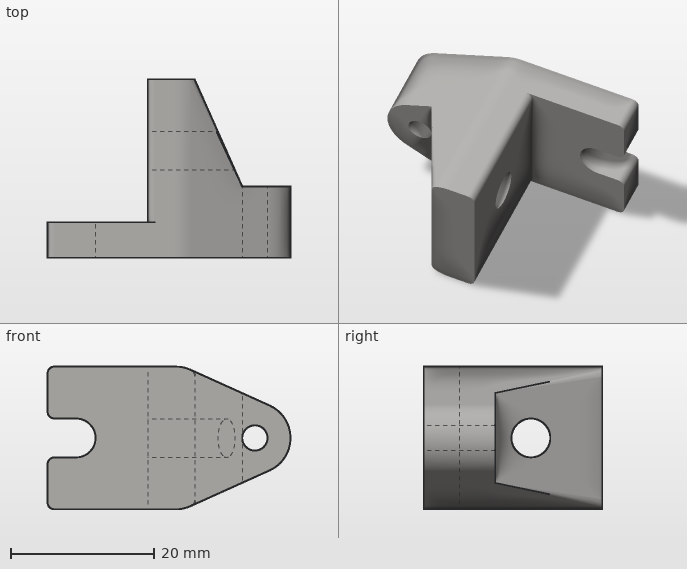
import cadquery as cq
import math

length = 34.0
height = 20.0
half_height = height / 2
nose_radius = 5.0
nose_x = length - nose_radius
shoulder_x = 19.0
shoulder_radius = 5.0
corner_radius = 1.0

depth = 25.0
plate_thickness = 5.0
nose_depth = 10.0

wall_front_x = 14.0
slope_top_x = 20.57
slope_foot_x = 27.25
back_rounding_radius = 1.12

nose_hole_diameter = 3.5
wall_hole_diameter = 5.4
wall_hole_y = 15.0
slot_width = 5.4
slot_round_x = 4.0

reach_x = nose_x - shoulder_x
flank_angle = math.atan2(half_height, reach_x) - math.asin(nose_radius / math.hypot(reach_x, half_height))
tangent_x = nose_x + nose_radius * math.sin(flank_angle)
tangent_z = nose_radius * math.cos(flank_angle)


def make_outline_body():
    """Full-depth extrusion of the plate outline with rounded shoulders."""
    body = (
        cq.Workplane("XZ")
        .moveTo(0, -half_height)
        .lineTo(shoulder_x, -half_height)
        .lineTo(tangent_x, -tangent_z)
        .threePointArc((length, 0), (tangent_x, tangent_z))
        .lineTo(shoulder_x, half_height)
        .lineTo(0, half_height)
        .close()
        .extrude(-depth)
    )
    edge_margin = 0.35
    shoulders = cq.selectors.BoxSelector(
        (shoulder_x - edge_margin, 0, -height), (shoulder_x + edge_margin, depth, height)
    )
    return body.edges("|Y").edges(shoulders).fillet(shoulder_radius)


def make_side_shape():
    """L-shaped body with a sloping back, seen along Z."""
    side = (
        cq.Workplane("XY")
        .workplane(offset=-half_height)
        .polyline([
            (0, 0),
            (length, 0),
            (length, nose_depth),
            (slope_foot_x, nose_depth),
            (slope_top_x, depth),
            (wall_front_x, depth),
            (wall_front_x, plate_thickness),
            (0, plate_thickness),
        ])
        .close()
        .extrude(height)
    )
    edge_margin = 0.35
    wall_edges = cq.selectors.BoxSelector(
        (wall_front_x - edge_margin, plate_thickness + edge_margin, -height),
        (wall_front_x + edge_margin, depth, height),
    )
    return side.edges("|Y").edges(wall_edges).fillet(corner_radius)


def corner_section(y, radius):
    """Sliver outside a rounding of the flank-to-back corner at depth y."""
    back_fraction = (y - nose_depth) / (depth - nose_depth)
    x = slope_foot_x + back_fraction * (slope_top_x - slope_foot_x)
    z = half_height - (x - shoulder_x) * math.tan(flank_angle)
    turn = math.pi / 2 - flank_angle
    setback = radius * math.tan(turn / 2)
    flank_point = cq.Vector(
        x - setback * math.cos(flank_angle), y, z + setback * math.sin(flank_angle)
    )
    back_point = cq.Vector(x, y, z - setback)
    middle_angle = turn / 2
    middle_point = cq.Vector(
        x - radius + radius * math.cos(middle_angle), y, z - setback + radius * math.sin(middle_angle)
    )
    corner = cq.Vector(x, y, z)
    return cq.Wire.assembleEdges([
        cq.Edge.makeLine(corner, flank_point),
        cq.Edge.makeThreePointArc(flank_point, middle_point, back_point),
        cq.Edge.makeLine(back_point, corner),
    ])


def make_corner_cutter():
    """Rounding that fades from the wall's end down to the foot of the slope."""
    vanishing_fraction = 0.02
    small_y = nose_depth + vanishing_fraction * (depth - nose_depth)
    small = corner_section(small_y, back_rounding_radius * vanishing_fraction)
    large = corner_section(depth, back_rounding_radius)
    return cq.Workplane(obj=cq.Solid.makeLoft([small, large], True))


def make_slot():
    """Round-ended slot open to the -X end, through the plate."""
    block = (
        cq.Workplane("XZ")
        .rect(2 * slot_round_x, slot_width)
        .extrude(-plate_thickness)
    )
    round_end = (
        cq.Workplane("XZ")
        .center(slot_round_x, 0)
        .circle(slot_width / 2)
        .extrude(-plate_thickness)
    )
    return block.union(round_end)


body = make_outline_body().intersect(make_side_shape())

body = body.cut(make_slot())
body = body.faces("<X").edges("|Y").fillet(corner_radius)

corner_cutter = make_corner_cutter()
body = body.cut(corner_cutter)
body = body.cut(corner_cutter.mirror("XY"))

nose_hole = (
    cq.Workplane("XZ")
    .center(nose_x, 0)
    .circle(nose_hole_diameter / 2)
    .extrude(-depth)
)
body = body.cut(nose_hole)

wall_hole = (
    cq.Workplane("YZ")
    .workplane(offset=wall_front_x)
    .center(wall_hole_y, 0)
    .circle(wall_hole_diameter / 2)
    .extrude(length - wall_front_x)
)
result = body.cut(wall_hole)